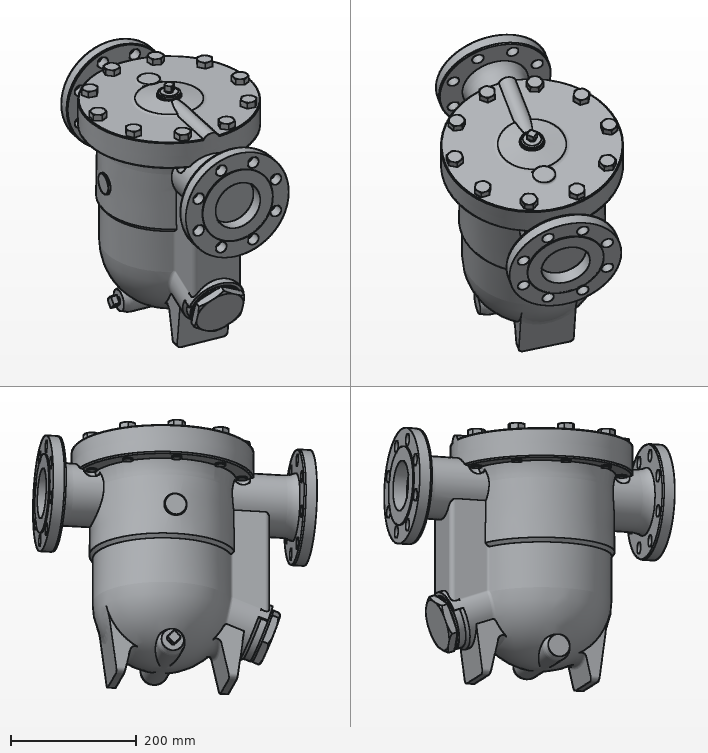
import cadquery as cq
import math


INLET_FACE_X = -195.0
OUTLET_FACE_X = 235.0
PIPE_RADIUS = 50.0
HUB_RADIUS = 54.5
HUB_LENGTH = 19.0
HUB_MIDDLE_LENGTH = 10.45
HUB_MIDDLE_RADIUS = 51.35
FLANGE_RADIUS = 92.5
FLANGE_THICKNESS = 21.0
FLANGE_EDGE_DROP = 1.0
FLANGE_EDGE_LENGTH = 3.0
RAISED_FACE_RADIUS = 63.0
RAISED_FACE_HEIGHT = 2.0
FLANGE_HOLE_COUNT = 8
FLANGE_HOLE_DIAMETER = 19.0
FLANGE_HOLE_CIRCLE_RADIUS = 75.0
BORE_DIAMETER = 80.0
BORE_DEPTH = FLANGE_THICKNESS + RAISED_FACE_HEIGHT

NECK_RADIUS = 115.0
NECK_TOP_RADIUS = 118.0
NECK_BOTTOM_Z = 5.5
SHOULDER_RADIUS = 116.5
SHOULDER_Z = -93.0
SHELL_RADIUS = 111.5
SHELL_TOP_Z = -99.5
DOME_CENTRE_Z = -173.0
PAD_RADIUS = 18.0
PAD_FACE_Y = -118.5
PAD_Z = -44.5
PAD_EDGE = 1.0

COVER_RADIUS = 145.0
COVER_TOP_Z = 79.0
COVER_EDGE = 1.5
JOINT_Z = 54.5
BODY_FLANGE_BOTTOM_Z = 31.5
BODY_FLANGE_EDGE = 2.5

BOLT_COUNT = 10
BOLT_CIRCLE_RADIUS = 127.5
BOLT_DIAMETER = 16.0
BOLT_HEAD_FLATS = 24.0
BOLT_HEAD_HEIGHT = 10.5
BOLT_END_Z = 29.0
CORNER_CUT_RATIO = 0.45
RECESS_ANGLE = 180 / BOLT_COUNT
BOLT_RECESS_RADIUS = 13.0
BOLT_RECESS_CENTRE_Z = 28.0

CONE_FOOT_RADIUS = 60.0
CONE_FOOT_MIDDLE_Z = 79.6
CONE_BASE_RADIUS = 54.5
CONE_BASE_Z = 81.0
CONE_TOP_RADIUS = 20.0
CONE_TOP_Z = 86.5
CENTRE_HUB_RADIUS = 18.0
CENTRE_HUB_TOP_Z = 93.0
CENTRE_HUB_EDGE = 1.2
CENTRE_HUB_EDGE_INSET = 3.4
CENTRE_PLUG_NECK_RADIUS = 6.0
CENTRE_PLUG_BOTTOM_Z = 95.5
CENTRE_PLUG_TOP_Z = 106.0
CENTRE_PLUG_SQUARE = 13.0
CENTRE_PLUG_DIAMETER = 17.0
SIDE_BOSS_X = -69.5
SIDE_BOSS_RADIUS = 18.0
SIDE_BOSS_HEIGHT = 4.5
SIDE_BOSS_EDGE = 1.0
SIDE_BOSS_EDGE_INSET = 3.5
RIDGE_RADIUS = 15.5
RIDGE_TOP_Z = 87.5

PASSAGE_HALF_WIDTH = 43.5
PASSAGE_TOP_Z = -23.5
PASSAGE_END_X = 166.0
PASSAGE_HEEL_INSET = 20.0
PASSAGE_EDGE_RADIUS = 8.0
PASSAGE_FILLET = 5.4

SEAT_TILT = 20.0
SEAT_AXIS_START_Z = -159.5
SEAT_PIPE_RADIUS = 50.0
SEAT_PIPE_END = 152.0
SEAT_COLLAR_RADIUS = 45.0
SEAT_COLLAR_END = 168.5
SEAT_GASKET_RADIUS = 44.0
SEAT_LUG_OVERLAP = 2.0
SEAT_LUG_LEVEL = 10.0
SEAT_HEX_START = 172.0
SEAT_HEX_END = 185.0
SEAT_HEX_FLATS = 82.0

FEET_CENTRE_X = 15.5
FOOT_WIDTH = 91.0
FOOT_BOTTOM_Z = -306.0
FOOT_TOP_Z = -200.0
FOOT_OUTER_X = -81.8
FOOT_INNER_X = -69.0
FOOT_OUTER_TAPER = 0.135
FOOT_INNER_TAPER = 0.23
FOOT_CORNER_RADIUS = 8.0
FOOT_INNER_FILLET = 8.0
FOOT_OUTER_FILLET = 25.0

DRAIN_Z = -262.0
DRAIN_RADIUS = 22.3
DRAIN_TAPER_Y = 76.0
DRAIN_SHOULDER_RADIUS = 21.5
DRAIN_SHOULDER_Y = 80.5
DRAIN_RIM_RADIUS = 18.8
DRAIN_RIM_Y = 87.0
DRAIN_END_RADIUS = 18.0
DRAIN_END_Y = 90.5
DRAIN_PLUG_NECK_RADIUS = 6.0
DRAIN_PLUG_START_Y = -94.0
DRAIN_PLUG_END_Y = -105.0
DRAIN_PLUG_SQUARE = 16.0
DRAIN_PLUG_DIAMETER = 20.7

EDGE_TOLERANCE = 0.1


def cylinder_z(radius, z_low, z_high):
    return cq.Workplane("XY").workplane(offset=z_low).circle(radius).extrude(z_high - z_low)


def revolve_z(outline):
    """Turn a closed XZ outline about the Z axis."""
    return outline.close().revolve(360, (0, 0, 0), (0, 1, 0))


def hexagon_head(flats, height):
    """Hexagonal prism on Z = 0 with its top corners turned off; flats face along X."""
    corner_radius = flats / 2 / math.cos(math.pi / 6)
    cut = (corner_radius - flats / 2) * CORNER_CUT_RATIO * 2
    blank = cq.Workplane("XY").circle(corner_radius).extrude(height).faces(">Z").chamfer(cut / 2, cut)
    prism = cq.Workplane("XY").polygon(6, 2 * corner_radius).extrude(height)
    return prism.rotate((0, 0, 0), (0, 0, 1), 30).intersect(blank)


def square_head(square, diameter, height):
    """Square on Z = 0 standing on its corner, with the corners turned down to a diameter."""
    prism = cq.Workplane("XY").rect(square, square).extrude(height).rotate((0, 0, 0), (0, 0, 1), 45)
    return prism.intersect(cq.Workplane("XY").circle(diameter / 2).extrude(height))


def body():
    neck_middle_z = (BODY_FLANGE_BOTTOM_Z + NECK_BOTTOM_Z) / 2
    neck_middle_radius = NECK_RADIUS + (NECK_TOP_RADIUS - NECK_RADIUS) / 4
    dome_reach = SHELL_RADIUS * math.sqrt(0.5)
    outline = (
        cq.Workplane("XZ")
        .moveTo(0, BODY_FLANGE_BOTTOM_Z)
        .lineTo(NECK_TOP_RADIUS, BODY_FLANGE_BOTTOM_Z)
        .threePointArc((neck_middle_radius, neck_middle_z), (NECK_RADIUS, NECK_BOTTOM_Z))
        .lineTo(SHOULDER_RADIUS, SHOULDER_Z)
        .lineTo(SHELL_RADIUS, SHELL_TOP_Z)
        .lineTo(SHELL_RADIUS, DOME_CENTRE_Z)
        .threePointArc((dome_reach, DOME_CENTRE_Z - dome_reach), (0, DOME_CENTRE_Z - SHELL_RADIUS))
    )
    return revolve_z(outline).rotate((0, 0, 0), (0, 0, 1), 90)


def body_pad():
    """Round pad on the -Y side of the body."""
    return (
        cq.Workplane("XZ", origin=(0, 0, PAD_Z))
        .circle(PAD_RADIUS)
        .extrude(-PAD_FACE_Y)
        .faces("<Y")
        .chamfer(PAD_EDGE)
    )


def body_flange():
    ring = cylinder_z(COVER_RADIUS, BODY_FLANGE_BOTTOM_Z, JOINT_Z)
    return ring.faces("<Z").chamfer(BODY_FLANGE_EDGE)


def lid():
    return cylinder_z(COVER_RADIUS, JOINT_Z, COVER_TOP_Z).faces(">Z").chamfer(COVER_EDGE)


def cover_centre():
    """Shallow cone on the cover with its hub and square-headed plug."""
    foot_middle = ((CONE_FOOT_RADIUS + CONE_BASE_RADIUS) / 2, CONE_FOOT_MIDDLE_Z)
    hub_foot_z = CONE_TOP_Z + CONE_TOP_RADIUS - CENTRE_HUB_RADIUS
    outline = (
        cq.Workplane("XZ")
        .moveTo(0, JOINT_Z)
        .lineTo(CONE_FOOT_RADIUS, JOINT_Z)
        .lineTo(CONE_FOOT_RADIUS, COVER_TOP_Z)
        .threePointArc(foot_middle, (CONE_BASE_RADIUS, CONE_BASE_Z))
        .lineTo(CONE_TOP_RADIUS, CONE_TOP_Z)
        .lineTo(CENTRE_HUB_RADIUS, hub_foot_z)
        .lineTo(CENTRE_HUB_RADIUS, CENTRE_HUB_TOP_Z - CENTRE_HUB_EDGE)
        .lineTo(CENTRE_HUB_RADIUS - CENTRE_HUB_EDGE_INSET, CENTRE_HUB_TOP_Z)
        .lineTo(CENTRE_PLUG_NECK_RADIUS, CENTRE_HUB_TOP_Z)
        .lineTo(CENTRE_PLUG_NECK_RADIUS, CENTRE_PLUG_BOTTOM_Z)
        .lineTo(0, CENTRE_PLUG_BOTTOM_Z)
    )
    plug_height = CENTRE_PLUG_TOP_Z - CENTRE_PLUG_BOTTOM_Z
    plug = square_head(CENTRE_PLUG_SQUARE, CENTRE_PLUG_DIAMETER, plug_height)
    return revolve_z(outline).union(plug.translate((0, 0, CENTRE_PLUG_BOTTOM_Z)))


def side_boss():
    """Low round boss on the cover with a concave foot."""
    foot_radius = SIDE_BOSS_RADIUS + SIDE_BOSS_HEIGHT
    sweep = SIDE_BOSS_HEIGHT - SIDE_BOSS_EDGE
    inset = sweep * (1 - math.sqrt(0.5))
    outline = (
        cq.Workplane("XZ")
        .moveTo(0, -SIDE_BOSS_HEIGHT)
        .lineTo(foot_radius, -SIDE_BOSS_HEIGHT)
        .lineTo(foot_radius, 0)
        .lineTo(SIDE_BOSS_RADIUS + sweep, 0)
        .threePointArc((SIDE_BOSS_RADIUS + inset, inset), (SIDE_BOSS_RADIUS, sweep))
        .lineTo(SIDE_BOSS_RADIUS - SIDE_BOSS_EDGE_INSET, SIDE_BOSS_HEIGHT)
        .lineTo(0, SIDE_BOSS_HEIGHT)
    )
    return revolve_z(outline).translate((SIDE_BOSS_X, 0, COVER_TOP_Z))


def cover_ridge():
    """Rounded ridge from the cover centre to its rim on the outlet side."""
    bar = (
        cq.Workplane("YZ", origin=(0, 0, RIDGE_TOP_Z - RIDGE_RADIUS))
        .circle(RIDGE_RADIUS)
        .extrude(COVER_RADIUS)
    )
    return bar.intersect(cylinder_z(COVER_RADIUS, JOINT_Z, RIDGE_TOP_Z))


def cover_bolt():
    head = hexagon_head(BOLT_HEAD_FLATS, BOLT_HEAD_HEIGHT).translate((0, 0, COVER_TOP_Z))
    shank = cylinder_z(BOLT_DIAMETER / 2, BOLT_END_Z, COVER_TOP_Z)
    return head.union(shank)


def bolt_recess():
    """Round-nosed clearance under a bolt end, cut where the pipe comes close."""
    reach = BOLT_RECESS_RADIUS * math.sqrt(0.5)
    outline = (
        cq.Workplane("XZ")
        .moveTo(0, BOLT_RECESS_CENTRE_Z - BOLT_RECESS_RADIUS)
        .threePointArc((reach, BOLT_RECESS_CENTRE_Z - reach), (BOLT_RECESS_RADIUS, BOLT_RECESS_CENTRE_Z))
        .lineTo(BOLT_RECESS_RADIUS, JOINT_Z)
        .lineTo(0, JOINT_Z)
    )
    return revolve_z(outline)


def on_bolt_circle(shape, angle):
    return shape.translate((BOLT_CIRCLE_RADIUS, 0, 0)).rotate((0, 0, 0), (0, 0, 1), angle)


def pipe_end(length):
    """Flanged pipe from the vessel axis along +X, its raised face at the given length."""
    flange_front = length - RAISED_FACE_HEIGHT
    flange_back = flange_front - FLANGE_THICKNESS
    hub_start = flange_back - HUB_LENGTH
    hub_middle = (hub_start + HUB_MIDDLE_LENGTH, HUB_MIDDLE_RADIUS)
    return (
        cq.Workplane("XY")
        .lineTo(0, PIPE_RADIUS)
        .lineTo(hub_start, PIPE_RADIUS)
        .threePointArc(hub_middle, (flange_back, HUB_RADIUS))
        .lineTo(flange_back, FLANGE_RADIUS - FLANGE_EDGE_DROP)
        .lineTo(flange_back + FLANGE_EDGE_LENGTH, FLANGE_RADIUS)
        .lineTo(flange_front, FLANGE_RADIUS)
        .lineTo(flange_front, RAISED_FACE_RADIUS)
        .lineTo(length, RAISED_FACE_RADIUS)
        .lineTo(length, 0)
        .close()
        .revolve(360, (0, 0, 0), (1, 0, 0))
    )


def pipe_end_cuts(length):
    """Bore and flange holes of a pipe end."""
    face = cq.Workplane("YZ", origin=(length, 0, 0))
    bore = face.circle(BORE_DIAMETER / 2).extrude(-BORE_DEPTH)
    half_step = 180 / FLANGE_HOLE_COUNT
    holes = (
        face.polarArray(FLANGE_HOLE_CIRCLE_RADIUS, half_step, 360, FLANGE_HOLE_COUNT)
        .circle(FLANGE_HOLE_DIAMETER / 2)
        .extrude(-FLANGE_THICKNESS - RAISED_FACE_HEIGHT)
    )
    return bore.union(holes)


def turned_to_inlet(shape):
    return shape.rotate((0, 0, 0), (0, 0, 1), 180)


def seat_axis_z(x):
    return SEAT_AXIS_START_Z - x * math.tan(math.radians(SEAT_TILT))


def passage():
    """Upright box whose lower end runs into the angled pipe."""
    heel_x = SEAT_PIPE_END * math.cos(math.radians(SEAT_TILT)) - PASSAGE_HEEL_INSET
    return (
        cq.Workplane("XZ", origin=(0, PASSAGE_HALF_WIDTH, 0))
        .moveTo(0, PASSAGE_TOP_Z)
        .lineTo(PASSAGE_END_X, PASSAGE_TOP_Z)
        .lineTo(PASSAGE_END_X, seat_axis_z(PASSAGE_END_X) + SEAT_PIPE_RADIUS / 2)
        .lineTo(heel_x, seat_axis_z(PASSAGE_END_X))
        .lineTo(0, seat_axis_z(0))
        .close()
        .extrude(2 * PASSAGE_HALF_WIDTH)
        .edges("|Z and >X")
        .fillet(PASSAGE_EDGE_RADIUS)
    )


def on_seat_axis(shape):
    """Tilt a shape built along Z onto the axis of the angled pipe."""
    return shape.rotate((0, 0, 0), (0, 1, 0), 90 + SEAT_TILT).translate((0, 0, SEAT_AXIS_START_Z))


def seat_pipe():
    return on_seat_axis(cylinder_z(SEAT_PIPE_RADIUS, 0, SEAT_PIPE_END))


def seat_plug():
    """Stepped collar on the pipe end, the lug above it and the hexagon of the plug."""
    shoulder_end = SEAT_PIPE_END + SEAT_PIPE_RADIUS - SEAT_COLLAR_RADIUS
    collar = revolve_z(
        cq.Workplane("XZ")
        .moveTo(0, SEAT_PIPE_END)
        .lineTo(SEAT_PIPE_RADIUS, SEAT_PIPE_END)
        .lineTo(SEAT_COLLAR_RADIUS, shoulder_end)
        .lineTo(SEAT_COLLAR_RADIUS, SEAT_COLLAR_END)
        .lineTo(SEAT_GASKET_RADIUS, SEAT_COLLAR_END)
        .lineTo(SEAT_GASKET_RADIUS, SEAT_HEX_START)
        .lineTo(0, SEAT_HEX_START)
    )
    lug_start = SEAT_PIPE_END - SEAT_LUG_OVERLAP
    lug = cylinder_z(SEAT_PIPE_RADIUS, lug_start, SEAT_COLLAR_END)
    upper_part = (
        cq.Workplane("XY", origin=(-SEAT_LUG_LEVEL - SEAT_PIPE_RADIUS, 0, lug_start))
        .rect(2 * SEAT_PIPE_RADIUS, 2 * SEAT_PIPE_RADIUS)
        .extrude(SEAT_COLLAR_END - lug_start)
    )
    hexagon = hexagon_head(SEAT_HEX_FLATS, SEAT_HEX_END - SEAT_HEX_START)
    hexagon = hexagon.rotate((0, 0, 0), (0, 0, 1), 90).translate((0, 0, SEAT_HEX_START))
    return on_seat_axis(collar.union(lug.intersect(upper_part)).union(hexagon))


def foot():
    """Tapered foot on the inlet side, rising into the dome."""
    rise = FOOT_TOP_Z - FOOT_BOTTOM_Z
    return (
        cq.Workplane("XZ", origin=(0, FOOT_WIDTH / 2, 0))
        .moveTo(FOOT_OUTER_X, FOOT_BOTTOM_Z)
        .lineTo(FOOT_OUTER_X - rise * FOOT_OUTER_TAPER, FOOT_TOP_Z)
        .lineTo(FOOT_INNER_X + rise * FOOT_INNER_TAPER, FOOT_TOP_Z)
        .lineTo(FOOT_INNER_X, FOOT_BOTTOM_Z)
        .close()
        .extrude(FOOT_WIDTH)
        .edges("|X and <Z")
        .fillet(FOOT_CORNER_RADIUS)
    )


def feet():
    return foot().union(foot().mirror("YZ").translate((2 * FEET_CENTRE_X, 0, 0)))


def drain_half():
    return (
        cq.Workplane("YZ")
        .lineTo(0, DRAIN_RADIUS)
        .lineTo(DRAIN_TAPER_Y, DRAIN_RADIUS)
        .lineTo(DRAIN_SHOULDER_Y, DRAIN_SHOULDER_RADIUS)
        .lineTo(DRAIN_RIM_Y, DRAIN_RIM_RADIUS)
        .lineTo(DRAIN_END_Y, DRAIN_END_RADIUS)
        .lineTo(DRAIN_END_Y, 0)
        .close()
        .revolve(360, (0, 0, 0), (1, 0, 0))
    )


def drain():
    """Cross-pipe under the dome, alike at both ends, with a square-headed plug on the -Y side."""
    neck = cq.Workplane("XZ").circle(DRAIN_PLUG_NECK_RADIUS).extrude(-DRAIN_PLUG_START_Y)
    head = square_head(DRAIN_PLUG_SQUARE, DRAIN_PLUG_DIAMETER, DRAIN_PLUG_START_Y - DRAIN_PLUG_END_Y)
    head = head.rotate((0, 0, 0), (1, 0, 0), 90).translate((0, DRAIN_PLUG_START_Y, 0))
    whole = drain_half().union(drain_half().mirror("XZ")).union(neck).union(head)
    return whole.translate((0, 0, DRAIN_Z))


def body_on_feet():
    """Body with its feet, filleted where the sloping foot faces run into the dome."""
    joined = body().union(feet())
    seams = [
        edge
        for edge in joined.edges("%CIRCLE").vals()
        if edge.Center().z < FOOT_TOP_Z
        and math.isclose(edge.BoundingBox().ylen, FOOT_WIDTH, abs_tol=EDGE_TOLERANCE)
    ]
    inner = [edge for edge in seams if edge.Center().x > FOOT_OUTER_X]
    outer = [edge for edge in seams if edge.Center().x < FOOT_OUTER_X]
    outer_blend = joined.newObject(outer).fillet(FOOT_OUTER_FILLET)
    return joined.newObject(inner).fillet(FOOT_INNER_FILLET).union(outer_blend)


def body_with_passage():
    """Body, side passage and angled pipe, filleted where they meet."""
    joined = body().union(seat_pipe()).union(passage())

    def needs_fillet(edge):
        centre = edge.Center()
        box = edge.BoundingBox()
        on_passage_side = math.isclose(abs(centre.y), PASSAGE_HALF_WIDTH, abs_tol=EDGE_TOLERANCE)
        upright = box.xlen < EDGE_TOLERANCE
        beside_shell = centre.z < SHELL_TOP_Z and centre.x < SHELL_RADIUS
        along_shell = on_passage_side and upright and beside_shell
        along_pipe = on_passage_side and box.xlen > PASSAGE_HALF_WIDTH and centre.z < DOME_CENTRE_Z
        pipe_on_dome = (
            box.ylen > SEAT_PIPE_RADIUS and centre.z < DOME_CENTRE_Z and 0 < centre.x < SHELL_RADIUS
        )
        return along_shell or along_pipe or pipe_on_dome

    seams = [edge for edge in joined.edges().vals() if needs_fillet(edge)]
    return joined.newObject(seams).fillet(PASSAGE_FILLET)


def outlet_pipe():
    pipe = pipe_end(OUTLET_FACE_X)
    for angle in (RECESS_ANGLE, -RECESS_ANGLE):
        pipe = pipe.cut(on_bolt_circle(bolt_recess(), angle))
    return pipe


def inlet_pipe():
    pipe = turned_to_inlet(pipe_end(-INLET_FACE_X))
    for angle in (180 - RECESS_ANGLE, 180 + RECESS_ANGLE):
        pipe = pipe.cut(on_bolt_circle(bolt_recess(), angle))
    return pipe


result = body_on_feet().union(body_with_passage())
result = result.union(outlet_pipe().union(inlet_pipe()))
result = result.union(body_pad())
result = result.union(seat_plug())
result = result.union(drain())
result = result.union(body_flange()).union(lid(), clean=False)
result = result.union(cover_centre(), clean=False)
result = result.union(side_boss(), clean=False)
result = result.union(cover_ridge(), clean=False)
for index in range(BOLT_COUNT):
    bolt = on_bolt_circle(cover_bolt(), RECESS_ANGLE + 360 / BOLT_COUNT * index)
    result = result.union(bolt, clean=False)
result = result.cut(pipe_end_cuts(OUTLET_FACE_X), clean=False)
result = result.cut(turned_to_inlet(pipe_end_cuts(-INLET_FACE_X)), clean=False)